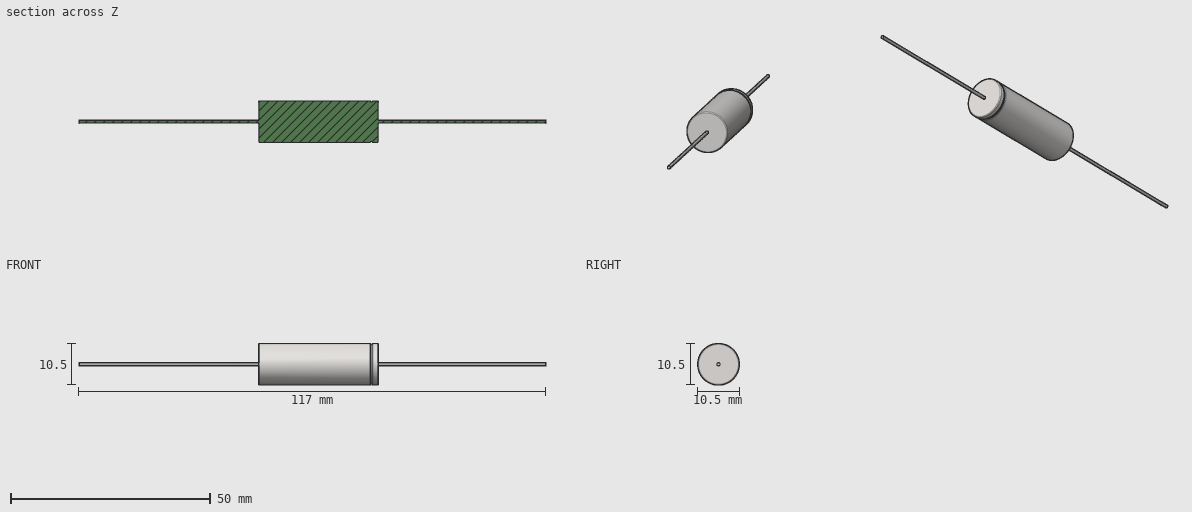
import cadquery as cq

body_diameter = 10.5
body_length = 30.0
body_end_fillet = 0.25

lead_diameter = 0.8
left_lead_length = 45.0
right_lead_length = 42.0

groove_width = 0.4
groove_depth = 0.25
groove_end_distance = 1.55
groove_shoulder_radius = 0.2


def make_body():
    """Round body on the X axis, revolved from half of its lengthwise section."""
    radius = body_diameter / 2
    floor_radius = radius - groove_depth
    wall_top = radius - groove_shoulder_radius
    groove_end = body_length - groove_end_distance
    groove_start = groove_end - groove_width

    section = (
        cq.Workplane("XY")
        .moveTo(0, 0)
        .lineTo(0, radius - body_end_fillet)
        .radiusArc((body_end_fillet, radius), body_end_fillet)
        .lineTo(groove_start - groove_shoulder_radius, radius)
        .radiusArc((groove_start, wall_top), groove_shoulder_radius)
        .lineTo(groove_start, floor_radius)
        .lineTo(groove_end, floor_radius)
        .lineTo(groove_end, wall_top)
        .radiusArc((groove_end + groove_shoulder_radius, radius), groove_shoulder_radius)
        .lineTo(body_length - body_end_fillet, radius)
        .radiusArc((body_length, radius - body_end_fillet), body_end_fillet)
        .lineTo(body_length, 0)
        .close()
    )
    return section.revolve(360, (0, 0, 0), (1, 0, 0))


def make_lead_wire():
    """Straight wire through the body, forming both leads."""
    wire_length = left_lead_length + body_length + right_lead_length
    return (
        cq.Workplane("YZ", origin=(-left_lead_length, 0, 0))
        .circle(lead_diameter / 2)
        .extrude(wire_length)
    )


result = make_body().union(make_lead_wire())